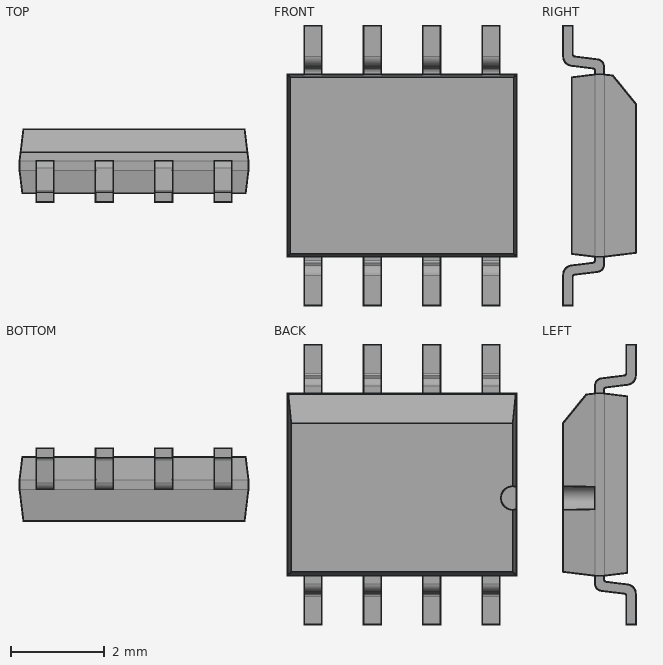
import cadquery as cq
import math

BODY_WIDTH = 4.9
BODY_HEIGHT = 3.9
FRONT_FACE_Y = 0.185
BAND_FRONT_Y = 0.68
BAND_BACK_Y = 0.88
BACK_FACE_Y = 1.56
DRAFT_ANGLE = 7

BEVEL_START_Y = 1.065
BEVEL_DROP = 0.635

NOTCH_RADIUS = 0.25
NOTCH_CENTRE_Z = -0.29
NOTCH_CENTRE_INSET = 0.085

LEAD_SPAN = 5.98
LEADS_PER_SIDE = 4
LEAD_PITCH = 1.27
LEAD_WIDTH = 0.38
LEAD_THICKNESS = 0.21
FOOT_LENGTH = 0.65
LEG_ANGLE = 7
INNER_BEND_RADIUS = 0.05
SHOULDER_RADIUS = 0.16
HEEL_RADIUS = 0.21


def body_half(start_y, end_y):
    """Frustum from the parting band at start_y, narrowing to the outer face at end_y."""
    depth = abs(end_y - start_y)
    inset = depth * math.tan(math.radians(DRAFT_ANGLE))
    return (
        cq.Workplane("XZ", origin=(0, start_y, 0))
        .rect(BODY_WIDTH, BODY_HEIGHT)
        .workplane(offset=start_y - end_y)
        .rect(BODY_WIDTH - 2 * inset, BODY_HEIGHT - 2 * inset)
        .loft(ruled=True)
    )


def bevel_cutter():
    """Triangular prism that takes off the upper back edge."""
    top_z = BODY_HEIGHT / 2
    bevel_start_z = top_z - (BEVEL_START_Y - BAND_BACK_Y) * math.tan(math.radians(DRAFT_ANGLE))
    return (
        cq.Workplane("YZ")
        .moveTo(BEVEL_START_Y, bevel_start_z)
        .lineTo(BACK_FACE_Y, top_z - BEVEL_DROP)
        .lineTo(BACK_FACE_Y, bevel_start_z)
        .close()
        .extrude(BODY_WIDTH / 2, both=True)
    )


def notch_cutter():
    """Cylinder along Y that runs from the parting band out through the back face."""
    return (
        cq.Workplane("XZ", origin=(0, BAND_BACK_Y, 0))
        .center(-BODY_WIDTH / 2 + NOTCH_CENTRE_INSET, NOTCH_CENTRE_Z)
        .circle(NOTCH_RADIUS)
        .extrude(BAND_BACK_Y - BACK_FACE_Y)
    )


def make_body():
    band = (
        cq.Workplane("XZ", origin=(0, BAND_FRONT_Y, 0))
        .rect(BODY_WIDTH, BODY_HEIGHT)
        .extrude(BAND_FRONT_Y - BAND_BACK_Y)
    )
    body = band.union(body_half(BAND_FRONT_Y, FRONT_FACE_Y)).union(body_half(BAND_BACK_Y, BACK_FACE_Y))
    return body.cut(bevel_cutter()).cut(notch_cutter())


def make_lead(centre_x, side):
    """Bent strip from the body edge to its foot; side is +1 for the top row, -1 for the bottom row."""
    slope = math.tan(math.radians(LEG_ANGLE))
    leg_rise = LEAD_THICKNESS / math.cos(math.radians(LEG_ANGLE))
    tip_z = LEAD_SPAN / 2
    root_z = BODY_HEIGHT / 2
    foot_inner_z = tip_z - FOOT_LENGTH
    shoulder_z = foot_inner_z - (BAND_BACK_Y - LEAD_THICKNESS) * slope
    heel_z = foot_inner_z + LEAD_THICKNESS * slope - leg_rise
    armpit_z = heel_z - BAND_FRONT_Y * slope
    outline = [
        (BAND_BACK_Y, root_z),
        (BAND_BACK_Y, shoulder_z),
        (LEAD_THICKNESS, foot_inner_z),
        (LEAD_THICKNESS, tip_z),
        (0, tip_z),
        (0, heel_z),
        (BAND_FRONT_Y, armpit_z),
        (BAND_FRONT_Y, root_z),
    ]
    lead = (
        cq.Workplane("YZ", origin=(centre_x, 0, 0))
        .polyline([(y, side * z) for y, z in outline])
        .close()
        .extrude(LEAD_WIDTH / 2, both=True)
    )
    bends = [
        (BAND_BACK_Y, shoulder_z, SHOULDER_RADIUS),
        (LEAD_THICKNESS, foot_inner_z, INNER_BEND_RADIUS),
        (0, heel_z, HEEL_RADIUS),
        (BAND_FRONT_Y, armpit_z, INNER_BEND_RADIUS),
    ]
    for y, z, radius in bends:
        corner = cq.selectors.NearestToPointSelector((centre_x, y, side * z))
        lead = lead.edges("|X").edges(corner).fillet(radius)
    return lead


body = make_body()

first_lead_x = -LEAD_PITCH * (LEADS_PER_SIDE - 1) / 2
leads = []
for side in (1, -1):
    for index in range(LEADS_PER_SIDE):
        lead = make_lead(first_lead_x + index * LEAD_PITCH, side)
        leads.append(lead.val())

result = cq.Compound.makeCompound([body.val(), *leads])